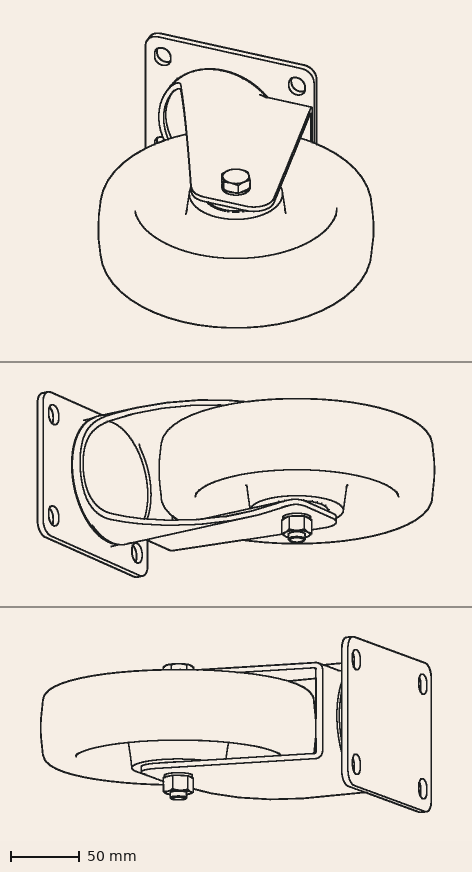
import cadquery as cq
import math


OVERALL_DROP = 241.8

PLATE_LENGTH = 132.0
PLATE_WIDTH = 110.0
PLATE_THICKNESS = 5.0
PLATE_CORNER_RADIUS = 10.0
HOLE_PITCH_X = 105.2
HOLE_PITCH_Z = 77.4
HOLE_WIDTH = 12.5
HOLE_LENGTH = 14.7
HEAD_RADIUS = 47.0
HEAD_FILLET = 3.0
HEAD_BOTTOM = 17.0

SHEET = 3.9
CUP_RADIUS = 47.6
CUP_EDGE_FILLET = 2.5
ARM_OUTER_Z = 35.5
ARM_INNER_Z = ARM_OUTER_Z - SHEET
ARM_BEND_RADIUS = 11.5
ARM_TOP = 18.5
ARM_TOP_FILLET = 5.3
ARM_ROOF_BOTTOM = 23.7
ARM_BACK_TOP_X = 70.1
ARM_BACK_SLOPE = 0.165
ARM_BOTTOM = 162.0
ARM_CORNER_RADIUS = 15.0
FRONT_LIP_BOTTOM = 25.0
FRONT_CUT_RADIUS = 20.8
FRONT_CUT_SLOPE = 2.116
FRONT_CUT_X = -31.2

WHEEL_RADIUS = 100.0
AXLE_X = 60.0
AXLE_Y = WHEEL_RADIUS - OVERALL_DROP
TREAD_HALF_WIDTH = 18.5
TREAD_EDGE_RADIUS = 98.7
SIDE_RADIUS = 92.9
SIDE_HALF_WIDTH = 24.7
SIDE_BULGE = 0.2
RIM_LIP_RADIUS = 74.0
RIM_BASE_RADIUS = 72.0
WEB_HALF_THICKNESS = 6.0
HUB_RADIUS = 33.9
HUB_BASE_RADIUS = 37.0
HUB_HALF_LENGTH = 30.0
RECESS_FILLET = 6.0

BEARING_RADIUS = 23.5
BEARING_CHAMFER = 0.7
BEARING_WIDTH = 14.0
SLEEVE_RADIUS = 12.0

BOLT_RADIUS = 6.0
BOLT_END_Z = -52.7
BOLT_END_CHAMFER = 0.7
HEX_WIDTH = 19.0
HEX_CHAMFER_TAN = math.tan(math.radians(30))
HEAD_HEIGHT = 7.7
NUT_HEIGHT = 11.0
NUT_TURN = 5
WASHER_RADIUS = 10.2
WASHER_THICKNESS = 2.0

RADIUS_TOLERANCE = 0.02


def cylinder_y(radius, top, bottom):
    """Cylinder on the swivel axis between two depths below the mounting face."""
    return cq.Workplane("XZ", origin=(0, -top, 0)).circle(radius).extrude(bottom - top)


def cylinder_z(radius, z_low, z_high):
    """Cylinder on the wheel axle between two Z levels."""
    return cq.Workplane("XY", origin=(AXLE_X, AXLE_Y, z_low)).circle(radius).extrude(z_high - z_low)


def revolve_on_axle(profile):
    """Turn a closed (radius, z) profile, drawn from the axle, about the axle."""
    return profile.close().revolve(360, (0, 0, 0), (0, 1, 0))


def axle_profile():
    """Start a (radius, z) profile in a plane through the wheel axle."""
    return cq.Workplane("XZ", origin=(AXLE_X, AXLE_Y, 0))


def is_radius_among(edge, radii):
    """Tell whether a circular edge has one of the given radii."""
    return any(math.isclose(edge.radius(), radius, abs_tol=RADIUS_TOLERANCE) for radius in radii)


def make_plate():
    """Slotted mounting plate with the round swivel head below it."""
    plate = (
        cq.Workplane("XZ")
        .rect(PLATE_LENGTH, PLATE_WIDTH)
        .extrude(PLATE_THICKNESS)
        .edges("|Y")
        .fillet(PLATE_CORNER_RADIUS)
    )
    slots = (
        cq.Workplane("XZ")
        .rect(HOLE_PITCH_X, HOLE_PITCH_Z, forConstruction=True)
        .vertices()
        .slot2D(HOLE_LENGTH, HOLE_WIDTH, 90)
        .extrude(PLATE_THICKNESS)
    )
    head = cylinder_y(HEAD_RADIUS, PLATE_THICKNESS, HEAD_BOTTOM)
    joined = plate.cut(slots).union(head)
    head_circles = joined.edges("%CIRCLE").filter(lambda edge: is_radius_among(edge, [HEAD_RADIUS]))
    return head_circles.edges(">Y").fillet(HEAD_FILLET)


def flared_block(circle_radius, arm_z, bend_radius, top):
    """Block whose two flat sides flare at the front through bends tangent to the given circle."""
    bend_center_z = arm_z + bend_radius
    center_distance = circle_radius + bend_radius
    bend_center_x = math.sqrt(center_distance**2 - bend_center_z**2)
    touch_x = bend_center_x * circle_radius / center_distance
    touch_z = bend_center_z * circle_radius / center_distance
    half_angle = math.atan2(bend_center_x, bend_center_z) / 2
    mid_x = bend_center_x - bend_radius * math.sin(half_angle)
    mid_z = bend_center_z - bend_radius * math.cos(half_angle)
    end_x = PLATE_LENGTH
    return (
        cq.Workplane("XZ", origin=(0, -top, 0))
        .moveTo(end_x, -arm_z)
        .lineTo(bend_center_x, -arm_z)
        .threePointArc((mid_x, -mid_z), (touch_x, -touch_z))
        .lineTo(touch_x, touch_z)
        .threePointArc((mid_x, mid_z), (bend_center_x, arm_z))
        .lineTo(end_x, arm_z)
        .close()
        .extrude(ARM_BOTTOM - top)
    )


def round_top(block, radius):
    """Round the two long top rims of a flared block, but not its straight ends."""
    return block.faces(">Y").edges("not (>X or <X)").fillet(radius)


def fork_side_outline():
    """Side outline of the fork in XY, extruded through its full width."""

    def cut_x(depth):
        return FRONT_CUT_X + (depth - FRONT_LIP_BOTTOM) / FRONT_CUT_SLOPE

    def back_x(depth):
        return ARM_BACK_TOP_X + (depth - ARM_TOP) * ARM_BACK_SLOPE

    top = HEAD_BOTTOM
    outline = (
        cq.Workplane("XY", origin=(0, 0, -PLATE_WIDTH / 2))
        .polyline([
            (-CUP_RADIUS - FRONT_CUT_RADIUS, -top),
            (-CUP_RADIUS - FRONT_CUT_RADIUS, -FRONT_LIP_BOTTOM),
            (FRONT_CUT_X, -FRONT_LIP_BOTTOM),
            (cut_x(ARM_BOTTOM), -ARM_BOTTOM),
            (back_x(ARM_BOTTOM), -ARM_BOTTOM),
            (back_x(top), -top),
        ])
        .close()
        .extrude(PLATE_WIDTH)
    )
    outline = outline.edges(cq.selectors.NearestToPointSelector((FRONT_CUT_X, -FRONT_LIP_BOTTOM, 0)))
    outline = outline.fillet(FRONT_CUT_RADIUS)
    return outline.edges("|Z").edges("<Y").fillet(ARM_CORNER_RADIUS)


def make_fork():
    """Cup under the swivel head that opens into a channel with two arms for the axle."""
    cup = cylinder_y(CUP_RADIUS, HEAD_BOTTOM, ARM_BOTTOM).faces(">Y").edges().fillet(CUP_EDGE_FILLET)
    channel = round_top(flared_block(CUP_RADIUS, ARM_OUTER_Z, ARM_BEND_RADIUS, ARM_TOP), ARM_TOP_FILLET)
    inner_radius = CUP_RADIUS - SHEET
    channel_space = round_top(
        flared_block(inner_radius, ARM_INNER_Z, ARM_BEND_RADIUS + SHEET, ARM_ROOF_BOTTOM),
        ARM_TOP_FILLET - SHEET,
    )
    cup_space = cylinder_y(inner_radius, HEAD_BOTTOM + SHEET, ARM_BOTTOM)
    solid_fork = cup.union(channel).intersect(fork_side_outline())
    bolt_hole = cylinder_z(BOLT_RADIUS, -PLATE_WIDTH / 2, PLATE_WIDTH / 2)
    return solid_fork.cut(channel_space).cut(cup_space).cut(bolt_hole)


def make_wheel():
    """Crowned wheel with a recessed web and a hub, made as one half and its mirror image."""
    crown_drop = WHEEL_RADIUS - TREAD_EDGE_RADIUS
    diagonal = math.sqrt(0.5)
    shoulder_mid = (
        SIDE_RADIUS + (TREAD_EDGE_RADIUS - SIDE_RADIUS) * diagonal,
        TREAD_HALF_WIDTH + (SIDE_HALF_WIDTH - TREAD_HALF_WIDTH) * diagonal,
    )
    side_mid = ((SIDE_RADIUS + RIM_LIP_RADIUS) / 2, SIDE_HALF_WIDTH + SIDE_BULGE)
    profile = (
        axle_profile()
        .moveTo(SLEEVE_RADIUS, 0)
        .lineTo(SLEEVE_RADIUS, HUB_HALF_LENGTH)
        .lineTo(HUB_RADIUS, HUB_HALF_LENGTH)
        .lineTo(HUB_BASE_RADIUS, WEB_HALF_THICKNESS)
        .lineTo(RIM_BASE_RADIUS, WEB_HALF_THICKNESS)
        .lineTo(RIM_LIP_RADIUS, SIDE_HALF_WIDTH)
        .threePointArc(side_mid, (SIDE_RADIUS, SIDE_HALF_WIDTH))
        .threePointArc(shoulder_mid, (TREAD_EDGE_RADIUS, TREAD_HALF_WIDTH))
        .threePointArc((WHEEL_RADIUS - crown_drop / 4, TREAD_HALF_WIDTH / 2), (WHEEL_RADIUS, 0))
    )
    half = revolve_on_axle(profile)
    corner_radii = (HUB_BASE_RADIUS, RIM_BASE_RADIUS, RIM_LIP_RADIUS)
    recess_corners = half.edges("%CIRCLE").filter(lambda edge: is_radius_among(edge, corner_radii))
    half = recess_corners.fillet(RECESS_FILLET)
    wheel = half.union(half.mirror("XY"))
    for bearing in make_bearings():
        wheel = wheel.cut(bearing)
    return wheel


def make_bearings():
    """Two mirrored bearings, each seated flush in one end of the hub."""
    seat = HUB_HALF_LENGTH - BEARING_WIDTH
    ring = cylinder_z(BEARING_RADIUS, seat, HUB_HALF_LENGTH).faces(">Z").edges().chamfer(BEARING_CHAMFER)
    bearing = ring.cut(cylinder_z(SLEEVE_RADIUS, seat, HUB_HALF_LENGTH))
    return [bearing, bearing.mirror("XY")]


def make_sleeve():
    sleeve = cylinder_z(SLEEVE_RADIUS, -ARM_INNER_Z, ARM_INNER_Z)
    return sleeve.cut(cylinder_z(BOLT_RADIUS, -ARM_INNER_Z, ARM_INNER_Z))


def hexagon(inner_z, outer_z, turn=0):
    """Hexagon turned from having corners on the X axis, with its outer end chamfered."""
    corner_radius = HEX_WIDTH / math.sqrt(3)
    flat_radius = HEX_WIDTH / 2
    chamfer_drop = (corner_radius - flat_radius) * HEX_CHAMFER_TAN
    shoulder_z = outer_z - math.copysign(chamfer_drop, outer_z)
    prism = (
        cq.Workplane("XY", origin=(AXLE_X, AXLE_Y, inner_z))
        .transformed(rotate=(0, 0, turn))
        .polygon(6, 2 * corner_radius)
        .extrude(outer_z - inner_z)
    )
    envelope = revolve_on_axle(
        axle_profile().polyline([
            (0, inner_z),
            (corner_radius, inner_z),
            (corner_radius, shoulder_z),
            (flat_radius, outer_z),
            (0, outer_z),
        ])
    )
    return prism.intersect(envelope)


def make_bolt():
    head_base = ARM_OUTER_Z + WASHER_THICKNESS
    shank = cylinder_z(BOLT_RADIUS, BOLT_END_Z, head_base).faces("<Z").edges().chamfer(BOLT_END_CHAMFER)
    return shank.union(hexagon(head_base, head_base + HEAD_HEIGHT))


def make_nut():
    nut_top = -ARM_OUTER_Z - WASHER_THICKNESS
    nut_bottom = nut_top - NUT_HEIGHT
    return hexagon(nut_top, nut_bottom, NUT_TURN).cut(cylinder_z(BOLT_RADIUS, nut_bottom, nut_top))


def make_washer(z_low):
    z_high = z_low + WASHER_THICKNESS
    return cylinder_z(WASHER_RADIUS, z_low, z_high).cut(cylinder_z(BOLT_RADIUS, z_low, z_high))


plate = make_plate()
fork = make_fork()
wheel = make_wheel()
bearings = make_bearings()
sleeve = make_sleeve()
bolt = make_bolt()
nut = make_nut()
washers = [make_washer(z_low) for z_low in (ARM_OUTER_Z, -ARM_OUTER_Z - WASHER_THICKNESS)]

result = cq.Compound.makeCompound([
    plate.val(),
    fork.val(),
    wheel.val(),
    *[bearing.val() for bearing in bearings],
    sleeve.val(),
    bolt.val(),
    nut.val(),
    *[washer.val() for washer in washers],
])